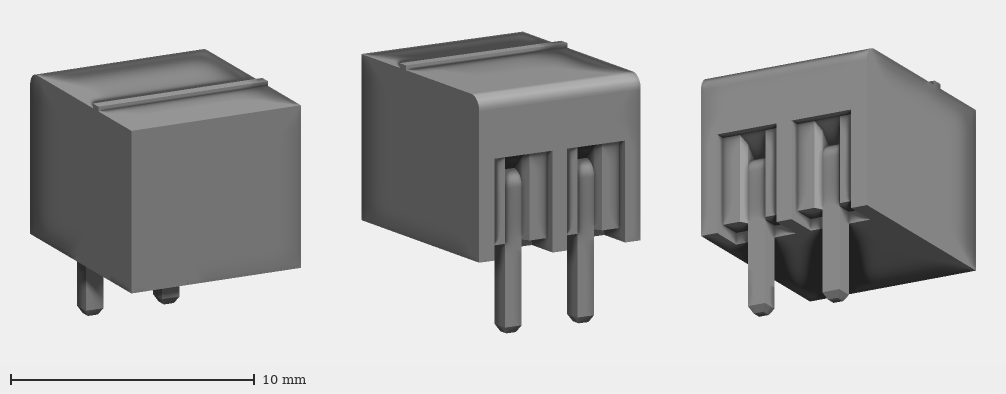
import cadquery as cq
import math

OVERALL_HEIGHT = 10.6

HOUSING_LENGTH = 9.2
HOUSING_WIDTH = 7.8
HOUSING_HEIGHT = 7.0
TOP_EDGE_RADIUS = 0.6

RIB_START = 5.7
RIB_WIDTH = 0.5
RIB_HEIGHT = 0.2

PIN_PITCH = 3.5
PIN_SIZE = 0.81
PIN_FRONT = 0.82
PIN_BACK = PIN_FRONT + PIN_SIZE
PIN_TOP = 3.42
PIN_LEG_DROP = OVERALL_HEIGHT - HOUSING_HEIGHT - RIB_HEIGHT
PIN_BEND_RADIUS = 0.64
PIN_TAIL_END = HOUSING_LENGTH / 2
TIP_LENGTH = 0.3
TIP_ANGLE = 30
TIP_INSET = TIP_LENGTH * math.tan(math.radians(TIP_ANGLE))

POCKET_WIDTH = 2.8
POCKET_HEIGHT = 4.29
POCKET_DEPTH = 0.5
RELIEF_HEIGHT = 0.51
RELIEF_DEPTH = PIN_BACK

SLOT_MOUTH_WIDTH = 1.2
SLOT_WALL_ANGLE = 30
SLOT_TAPER_DEPTH = (SLOT_MOUTH_WIDTH - PIN_SIZE) / 2 / math.tan(math.radians(SLOT_WALL_ANGLE))
SLOT_END = POCKET_DEPTH + POCKET_HEIGHT - PIN_TOP

PIN_CENTRES = [-PIN_PITCH / 2, PIN_PITCH / 2]


def span_box(x_start, x_end, y_centre, width, z_start, z_end):
    """Box spanning the given X and Z ranges, centred on y_centre."""
    return (
        cq.Workplane("XY")
        .box(x_end - x_start, width, z_end - z_start, centered=(False, True, False))
        .translate((x_start, y_centre, z_start))
    )


def make_pin(y_centre):
    """L-shaped pin: a tapered leg going down and a tail running into the housing."""
    shoulder = TIP_LENGTH - PIN_LEG_DROP
    leg = span_box(PIN_FRONT, PIN_BACK, y_centre, PIN_SIZE, shoulder, PIN_TOP)
    tail = span_box(PIN_FRONT, PIN_TAIL_END, y_centre, PIN_SIZE, PIN_TOP - PIN_SIZE, PIN_TOP)
    bent = leg.union(tail).edges("|Y and <X and >Z").fillet(PIN_BEND_RADIUS)
    tip_size = PIN_SIZE - 2 * TIP_INSET
    tip = (
        cq.Workplane("XY", origin=(PIN_FRONT + PIN_SIZE / 2, y_centre, shoulder))
        .rect(PIN_SIZE, PIN_SIZE)
        .workplane(offset=-TIP_LENGTH)
        .rect(tip_size, tip_size)
        .loft(ruled=True)
    )
    return bent.union(tip)


def make_slot(y_centre):
    """Tapered slot for the pin leg, closed above by the sloping ceiling."""
    half_mouth = SLOT_MOUTH_WIDTH / 2
    half_pin = PIN_SIZE / 2
    taper_end = POCKET_DEPTH + SLOT_TAPER_DEPTH
    plan = (
        cq.Workplane("XY", origin=(0, y_centre, 0))
        .moveTo(POCKET_DEPTH, -half_mouth)
        .lineTo(taper_end, -half_pin)
        .lineTo(SLOT_END, -half_pin)
        .lineTo(SLOT_END, half_pin)
        .lineTo(taper_end, half_pin)
        .lineTo(POCKET_DEPTH, half_mouth)
        .close()
        .extrude(POCKET_HEIGHT)
    )
    under_ceiling = (
        cq.Workplane("XZ", origin=(0, y_centre, 0))
        .moveTo(POCKET_DEPTH, 0)
        .lineTo(SLOT_END, 0)
        .lineTo(SLOT_END, PIN_TOP)
        .lineTo(POCKET_DEPTH, POCKET_HEIGHT)
        .close()
        .extrude(half_mouth, both=True)
    )
    return plan.intersect(under_ceiling)


def make_housing(pins):
    """Block with a rounded top edge and a rib, recessed and slotted for the pins."""
    block = span_box(0, HOUSING_LENGTH, 0, HOUSING_WIDTH, 0, HOUSING_HEIGHT)
    block = block.edges("|Y and <X and >Z").fillet(TOP_EDGE_RADIUS)
    rib_top = HOUSING_HEIGHT + RIB_HEIGHT
    rib = span_box(RIB_START, RIB_START + RIB_WIDTH, 0, HOUSING_WIDTH, HOUSING_HEIGHT, rib_top)
    housing = block.union(rib)
    for y_centre, pin in zip(PIN_CENTRES, pins):
        pocket = span_box(0, POCKET_DEPTH, y_centre, POCKET_WIDTH, 0, POCKET_HEIGHT)
        relief = span_box(0, RELIEF_DEPTH, y_centre, POCKET_WIDTH, 0, RELIEF_HEIGHT)
        housing = housing.cut(pocket).cut(relief).cut(make_slot(y_centre)).cut(pin)
    return housing


pins = [make_pin(y_centre) for y_centre in PIN_CENTRES]
housing = make_housing(pins)

result = cq.Compound.makeCompound([housing.val(), *[pin.val() for pin in pins]])